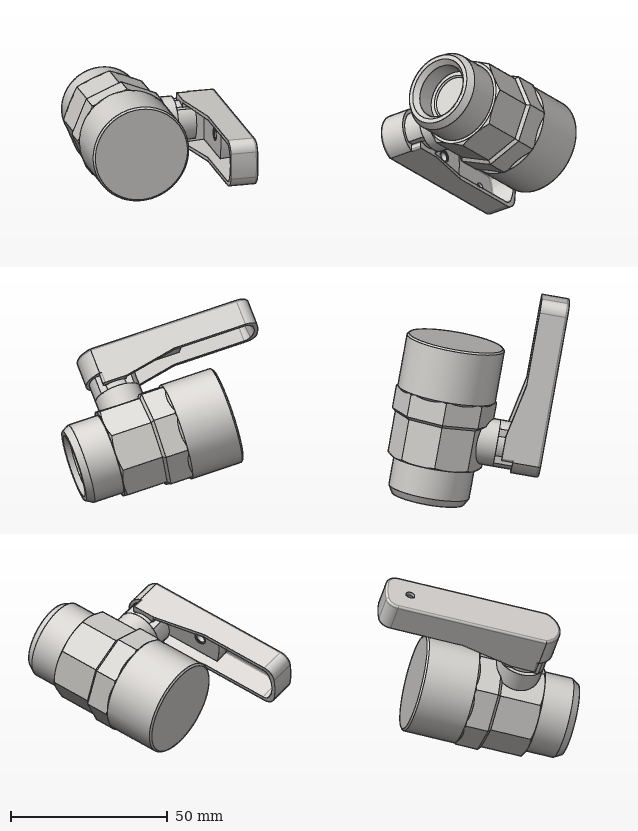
import cadquery as cq
import math

overall_depth = 49.7
overall_height = 32.5
male_end = 12.1
step_start = 26.1
step_end = 27.0
octagon_end = 34.55
housing_length = 51.8
male_radius = 13.0
male_tip_radius = 11.65
male_chamfer_length = 2.35
small_octagon_radius = 15.15
large_octagon_radius = overall_height / 2
female_radius = 15.8
female_chamfer = 0.6
octagon_sides = 8
apothem_ratio = math.cos(math.pi / octagon_sides)
octagon_chamfer_angle = 30
mouth_radius = 10.25
bore_radius = 8.8
mouth_depth = 1.8
bore_depth = 7.7
seat_radius = 7.55
seat_depth = 0.5
stem_x = 21.5
boss_radius = 7.55
boss_top = 18.5
stem_radius = 6.0
stem_flat = 5.05
stem_top = 24.45
handle_top = overall_depth - large_octagon_radius
handle_half_width = 7.6
handle_end = 71.1
hub_radius = 8.6
end_radius = 28.45
corner_radius = 4.0
grip_underside = stem_top
lug_underside = 20.8
lug_half_length = 4.05
lug_edge_fillet = 0.65
slope_start = 25.45
slope_end = 42.8
top_fillet = 0.7
pocket_half_width = 6.3
pocket_draft = 5
pocket_end = 69.9
pocket_end_radius = 10.7
pocket_corner_radius = 2.5
pocket_start = stem_x + lug_half_length
floor_thickness = 1.15
floor_fillet = 0.2
pad_face = 27.7
pad_radius = 24.9
pad_hole_x = 38.75
pad_hole_radius = 1.5
pad_recess_radius = 2.0
pad_recess_depth = 0.35
key_hole_x = 62.9
key_hole_radius = 1.4


def octagon(x, radius):
    """Octagon outline across the pipe at station x, with corners on the Y and Z axes."""
    return cq.Workplane("YZ", origin=(x, 0, 0)).polygon(octagon_sides, 2 * radius)


def disc_y(x, radius, y_start, y_end):
    """Cylinder parallel to Y, centred at (x, z = 0)."""
    plane = cq.Workplane("XZ", origin=(x, y_start, 0))
    return plane.circle(radius).extrude(y_start - y_end)


def revolved(points):
    """Solid of revolution about the pipe axis from (x, radius) points."""
    return cq.Workplane("XY").polyline(points).close().revolve(360, (0, 0, 0), (1, 0, 0))


def octagon_section():
    """Small octagon stepping up to the large one, with turned chamfers at both ends."""
    small = octagon(male_end, small_octagon_radius).extrude(step_start - male_end)
    step = octagon(step_start, small_octagon_radius)
    step = step.workplane(offset=step_end - step_start).polygon(octagon_sides, 2 * large_octagon_radius)
    step = step.loft(ruled=True)
    large = octagon(step_end, large_octagon_radius).extrude(octagon_end - step_end)
    slope = math.tan(math.radians(octagon_chamfer_angle))
    face_radius = small_octagon_radius * apothem_ratio
    chamfer_length = (large_octagon_radius - face_radius) * slope
    end_chamfer = (large_octagon_radius - female_radius) * slope
    turned = revolved([
        (male_end, 0),
        (male_end, face_radius),
        (male_end + chamfer_length, large_octagon_radius),
        (octagon_end - end_chamfer, large_octagon_radius),
        (octagon_end, female_radius),
        (octagon_end, 0),
    ])
    return small.union(step).union(large).intersect(turned)


def female_section():
    """Plain round end with a bevel where it meets the flats of the large octagon."""
    bevel = female_radius - large_octagon_radius * apothem_ratio
    return revolved([
        (octagon_end - bevel, 0),
        (octagon_end - bevel, female_radius - bevel),
        (octagon_end, female_radius),
        (housing_length - female_chamfer, female_radius),
        (housing_length, female_radius - female_chamfer),
        (housing_length, 0),
    ])


def make_housing():
    male = revolved([
        (0, 0),
        (0, male_tip_radius),
        (male_chamfer_length, male_radius),
        (male_end, male_radius),
        (male_end, 0),
    ])
    bore = revolved([
        (0, 0),
        (0, mouth_radius),
        (mouth_depth, bore_radius),
        (bore_depth, bore_radius),
        (bore_depth, seat_radius),
        (bore_depth + seat_depth, seat_radius - seat_depth),
        (bore_depth + seat_depth, 0),
    ])
    boss = disc_y(stem_x, boss_radius, 0, boss_top)
    return male.union(octagon_section()).union(female_section()).union(boss).cut(bore)


def make_stem():
    """Round stem with two lugs, cut from the boss diameter by a pair of flats."""
    height = stem_top - boss_top
    between_flats = cq.Workplane("XY").box(2 * boss_radius, height, 2 * stem_flat)
    between_flats = between_flats.translate((stem_x, boss_top + height / 2, 0))
    lugs = disc_y(stem_x, boss_radius, boss_top, stem_top).intersect(between_flats)
    return lugs.union(disc_y(stem_x, stem_radius, boss_top, stem_top))


def tongue(y_start, x_start, x_end, half_width, bulge_radius, corner):
    """Closed outline at y_start with a bulged, corner-rounded far end, ready to extrude."""
    bulge = bulge_radius - math.sqrt(bulge_radius**2 - half_width**2)
    sketch = (
        cq.Sketch()
        .segment((x_start, -half_width), (x_end - bulge, -half_width))
        .arc((x_end - bulge, -half_width), (x_end, 0), (x_end - bulge, half_width))
        .segment((x_end - bulge, half_width), (x_start, half_width))
        .close()
        .assemble()
        .vertices(">X")
        .fillet(corner)
    )
    return cq.Workplane("XZ", origin=(0, y_start, 0)).placeSketch(sketch)


def handle_blank():
    """Full-depth handle: a grip with a rounded far end and a hub round the stem."""
    depth = handle_top - lug_underside
    grip = tongue(lug_underside, stem_x, handle_end, handle_half_width, end_radius, corner_radius)
    grip = grip.extrude(-depth)
    slab = cq.Workplane("XY").box(2 * hub_radius, depth, 2 * handle_half_width)
    slab = slab.translate((stem_x, lug_underside + depth / 2, 0))
    hub = disc_y(stem_x, hub_radius, lug_underside, handle_top).intersect(slab)
    return grip.union(hub)


def below_underside():
    """Material removed below the grip and its slope."""
    return (
        cq.Workplane("XY")
        .moveTo(slope_start, lug_underside)
        .lineTo(slope_end, grip_underside)
        .lineTo(handle_end, grip_underside)
        .lineTo(handle_end, lug_underside)
        .close()
        .extrude(handle_half_width, both=True)
    )


def upper_lug():
    """Lug gripping the upper flat of the stem, rounded where it meets the open space."""
    height = grip_underside - lug_underside
    thickness = handle_half_width - stem_flat
    lug = cq.Workplane("XY").box(2 * lug_half_length, height, thickness)
    lug = lug.edges("|Y and <X").fillet(lug_edge_fillet)
    lug = lug.edges("|Y and >X and <Z").fillet(lug_edge_fillet)
    return lug.translate((stem_x, lug_underside + height / 2, stem_flat + thickness / 2))


def below_hub():
    """Material removed below the hub, leaving a lug on each side of the stem."""
    height = grip_underside - lug_underside
    length = hub_radius + lug_half_length
    space = cq.Workplane("XY").box(length, height, 2 * handle_half_width)
    space = space.translate((pocket_start - length / 2, lug_underside + height / 2, 0))
    lug = upper_lug()
    return space.cut(lug).cut(lug.mirror("XY"))


def pocket():
    """Drafted hollow under the grip, with a raised pad beside the stem."""
    deepening = (grip_underside - lug_underside) * math.tan(math.radians(pocket_draft))
    outline = tongue(
        lug_underside,
        pocket_start - deepening,
        pocket_end + deepening,
        pocket_half_width + deepening,
        pocket_end_radius,
        pocket_corner_radius + deepening,
    )
    hollow = outline.extrude(lug_underside - handle_top + floor_thickness, taper=pocket_draft)
    pad = disc_y(stem_x, pad_radius, pad_face, handle_top)
    return hollow.cut(pad).faces(">Y").edges().fillet(floor_fillet)


def make_handle(stem):
    handle = handle_blank().faces(">Y").edges().fillet(top_fillet)
    handle = handle.cut(below_underside()).cut(below_hub())
    handle = handle.cut(stem).cut(pocket())
    pad_hole = disc_y(pad_hole_x, pad_hole_radius, pad_face, handle_top - floor_thickness)
    pad_recess = disc_y(pad_hole_x, pad_recess_radius, pad_face, pad_face + pad_recess_depth)
    key_hole = disc_y(key_hole_x, key_hole_radius, pad_face, handle_top)
    return handle.cut(pad_hole).cut(pad_recess).cut(key_hole)


housing = make_housing()
stem = make_stem()
handle = make_handle(stem)

result = cq.Compound.makeCompound([housing.val(), stem.val(), handle.val()])